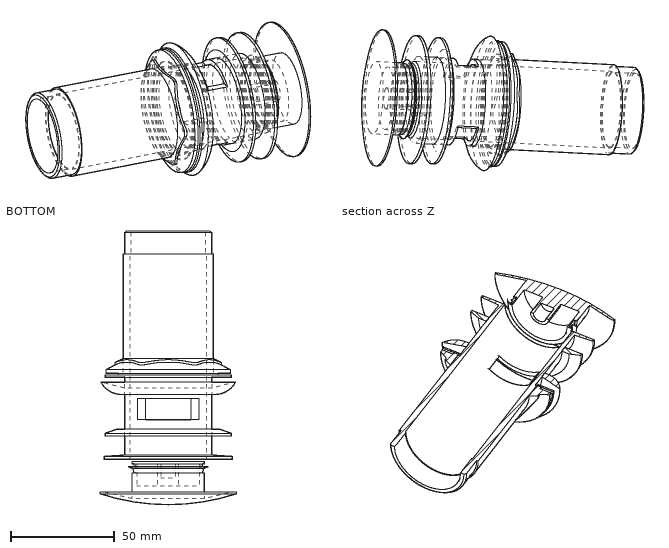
import cadquery as cq
import math

TOTAL_LENGTH = 132.1

CAP_DIAMETER = 65.9
CAP_DOME_HEIGHT = 5.3
CAP_RIM_THICKNESS = 0.9
CAP_DISH_DIAMETER = 62.0
CAP_DISH_DEPTH = 3.2
STEM_DIAMETER = 35.0
STEM_BOTTOM_Y = 111.2
STEM_CAVITY_DIAMETER = 30.2
STEM_CAVITY_DEPTH = 11.9
POST_DIAMETER = 10.2
POST_HOLE_DIAMETER = 6.9
POST_HOLE_DEPTH = 7.9
GROOVE_DIAMETER = 31.7
GROOVE_TOP_Y = 116.8
GROOVE_BOTTOM_Y = 112.4

LIP_DIAMETER = 38.2
LIP_ROOT_DIAMETER = 34.2
SEAL_END_DIAMETER = 33.2
LIP_ROOT_Y = 114.6
LIP_TIP_Y = 113.9
LIP_THICKNESS = 0.3

TUBE_DIAMETER = 42.0
TUBE_BORE = 37.0
FLANGE_DIAMETER = 62.0
FLANGE_TOP_Y = 110.2
FLANGE_EDGE_THICKNESS = 1.5
FLANGE_THICKNESS = 2.1
WINDOW_TOP_Y = 91.0
WINDOW_BOTTOM_Y = 81.0
WINDOW_FLOOR_Z = 14.9
THREAD_DIAMETER = 43.6
THREAD_END_Y = 11.1
OUTLET_BORE = 36.0
OUTLET_CHAMFER = 0.9
OUTLET_LEAD_IN_DIAMETER = 36.3
OUTLET_LEAD_IN_LENGTH = 2.1

SEAL_DIAMETER = 61.0
CONE_GASKET_TOP_Y = 98.9
CONE_GASKET_EDGE_THICKNESS = 1.3
CONE_GASKET_THICKNESS = 3.3
CONE_GASKET_BOTTOM_DIAMETER = 49.9

ROUND_GASKET_DIAMETER = 65.1
ROUND_GASKET_TOP_Y = 79.0
ROUND_GASKET_HEIGHT = 6.1
ROUND_GASKET_FLAT_DIAMETER = 44.9
ROUND_GASKET_HOLLOW_DIAMETER = 64.3
ROUND_GASKET_HOLLOW_DEPTH = 2.9

WASHER_TOP_Y = 70.7
WASHER_THICKNESS = 1.2

NUT_NECK_DIAMETER = 48.2
NUT_FLANGE_DIAMETER = 60.2
NUT_FLANGE_TOP_Y = 68.7
NUT_FLANGE_EDGE_THICKNESS = 1.7
NUT_BOTTOM_Y = 61.5
NUT_FLATS = 46.0
NUT_CORNER_RADIUS = 5.3
NUT_CONE_RUN = 6.9
NUT_CONE_DROP = 3.6
NUT_CHAMFER_OUTER_DIAMETER = 53.1
NUT_CHAMFER_HEIGHT = 2.4


def revolve(sketch):
    """Turn a closed half outline about the Y axis."""
    return sketch.close().revolve(360, (0, 0, 0), (0, 1, 0))


def turned(points):
    """Solid of revolution from straight (radius, y) segments."""
    return revolve(cq.Workplane("XY").polyline(points))


def cylinder(diameter, bottom_y, top_y):
    radius = diameter / 2
    return turned([(0, bottom_y), (radius, bottom_y), (radius, top_y), (0, top_y)])


def make_plug():
    cap_radius = CAP_DIAMETER / 2
    stem_radius = STEM_DIAMETER / 2
    groove_radius = GROOVE_DIAMETER / 2
    rim_top_y = TOTAL_LENGTH - CAP_DOME_HEIGHT
    rim_bottom_y = rim_top_y - CAP_RIM_THICKNESS

    dome_radius = (cap_radius**2 + CAP_DOME_HEIGHT**2) / (2 * CAP_DOME_HEIGHT)
    half_angle = math.asin(cap_radius / dome_radius) / 2
    dome_middle = (
        dome_radius * math.sin(half_angle),
        TOTAL_LENGTH - dome_radius * (1 - math.cos(half_angle)),
    )

    plug = revolve(
        cq.Workplane("XY")
        .moveTo(0, TOTAL_LENGTH)
        .threePointArc(dome_middle, (cap_radius, rim_top_y))
        .lineTo(cap_radius, rim_bottom_y)
        .lineTo(CAP_DISH_DIAMETER / 2, rim_bottom_y)
        .lineTo(stem_radius, rim_bottom_y + CAP_DISH_DEPTH)
        .lineTo(stem_radius, GROOVE_TOP_Y)
        .lineTo(groove_radius, GROOVE_TOP_Y)
        .lineTo(groove_radius, GROOVE_BOTTOM_Y)
        .lineTo(stem_radius, GROOVE_BOTTOM_Y)
        .lineTo(stem_radius, STEM_BOTTOM_Y)
        .lineTo(0, STEM_BOTTOM_Y)
    )
    cavity_top_y = STEM_BOTTOM_Y + STEM_CAVITY_DEPTH
    cavity = cylinder(STEM_CAVITY_DIAMETER, STEM_BOTTOM_Y, cavity_top_y)
    post = cylinder(POST_DIAMETER, STEM_BOTTOM_Y, cavity_top_y)
    post_hole = cylinder(POST_HOLE_DIAMETER, STEM_BOTTOM_Y, STEM_BOTTOM_Y + POST_HOLE_DEPTH)
    return plug.cut(cavity.cut(post)).cut(post_hole)


def make_lip_seal():
    inner_radius = GROOVE_DIAMETER / 2
    end_radius = SEAL_END_DIAMETER / 2
    root_radius = LIP_ROOT_DIAMETER / 2
    lip_radius = LIP_DIAMETER / 2
    return turned([
        (inner_radius, GROOVE_TOP_Y),
        (end_radius, GROOVE_TOP_Y),
        (root_radius, LIP_ROOT_Y),
        (lip_radius, LIP_TIP_Y),
        (lip_radius, LIP_TIP_Y - LIP_THICKNESS),
        (end_radius, LIP_TIP_Y),
        (end_radius, GROOVE_BOTTOM_Y),
        (inner_radius, GROOVE_BOTTOM_Y),
    ])


def make_waste_body():
    tube_radius = TUBE_DIAMETER / 2
    thread_radius = THREAD_DIAMETER / 2
    flange_radius = FLANGE_DIAMETER / 2
    bore_radius = TUBE_BORE / 2
    outlet_radius = OUTLET_BORE / 2
    thread_start_y = WASHER_TOP_Y - WASHER_THICKNESS
    body = turned([
        (bore_radius, FLANGE_TOP_Y),
        (flange_radius, FLANGE_TOP_Y),
        (flange_radius, FLANGE_TOP_Y - FLANGE_EDGE_THICKNESS),
        (tube_radius, FLANGE_TOP_Y - FLANGE_THICKNESS),
        (tube_radius, thread_start_y),
        (thread_radius, thread_start_y),
        (thread_radius, THREAD_END_Y),
        (tube_radius, THREAD_END_Y),
        (tube_radius, OUTLET_CHAMFER),
        (tube_radius - OUTLET_CHAMFER, 0),
        (OUTLET_LEAD_IN_DIAMETER / 2, 0),
        (outlet_radius, OUTLET_LEAD_IN_LENGTH),
        (outlet_radius, THREAD_END_Y),
        (bore_radius, THREAD_END_Y),
    ])

    window_depth = tube_radius - WINDOW_FLOOR_Z
    window_height = WINDOW_TOP_Y - WINDOW_BOTTOM_Y
    for side in (1, -1):
        window = cq.Workplane("XY").box(TUBE_DIAMETER, window_height, window_depth).translate((
            0,
            (WINDOW_TOP_Y + WINDOW_BOTTOM_Y) / 2,
            side * (WINDOW_FLOOR_Z + window_depth / 2),
        ))
        body = body.cut(window)
    return body


def make_cone_gasket():
    inner_radius = TUBE_DIAMETER / 2
    outer_radius = SEAL_DIAMETER / 2
    bottom_y = CONE_GASKET_TOP_Y - CONE_GASKET_THICKNESS
    return turned([
        (inner_radius, CONE_GASKET_TOP_Y),
        (outer_radius, CONE_GASKET_TOP_Y),
        (outer_radius, CONE_GASKET_TOP_Y - CONE_GASKET_EDGE_THICKNESS),
        (CONE_GASKET_BOTTOM_DIAMETER / 2, bottom_y),
        (inner_radius, bottom_y),
    ])


def make_round_gasket():
    inner_radius = TUBE_DIAMETER / 2
    bottom_y = ROUND_GASKET_TOP_Y - ROUND_GASKET_HEIGHT
    return revolve(
        cq.Workplane("XY")
        .moveTo(inner_radius, ROUND_GASKET_TOP_Y)
        .lineTo(ROUND_GASKET_FLAT_DIAMETER / 2, ROUND_GASKET_TOP_Y)
        .tangentArcPoint((ROUND_GASKET_DIAMETER / 2, bottom_y), relative=False)
        .lineTo(ROUND_GASKET_HOLLOW_DIAMETER / 2, bottom_y)
        .lineTo(inner_radius, bottom_y + ROUND_GASKET_HOLLOW_DEPTH)
    )


def make_washer():
    bottom_y = WASHER_TOP_Y - WASHER_THICKNESS
    ring = cylinder(SEAL_DIAMETER, bottom_y, WASHER_TOP_Y)
    return ring.cut(cylinder(TUBE_DIAMETER, bottom_y, WASHER_TOP_Y))


def make_nut():
    flange_radius = NUT_FLANGE_DIAMETER / 2
    neck_radius = NUT_NECK_DIAMETER / 2
    neck_top_y = WASHER_TOP_Y - WASHER_THICKNESS
    cone_top_y = NUT_FLANGE_TOP_Y - NUT_FLANGE_EDGE_THICKNESS
    cone_bottom_y = cone_top_y - NUT_CONE_DROP

    flange = turned([
        (0, neck_top_y),
        (neck_radius, neck_top_y),
        (neck_radius, NUT_FLANGE_TOP_Y),
        (flange_radius, NUT_FLANGE_TOP_Y),
        (flange_radius, cone_top_y),
        (flange_radius - NUT_CONE_RUN, cone_bottom_y),
        (0, cone_bottom_y),
    ])

    corner_diameter = NUT_FLATS / math.cos(math.pi / 6)
    hexagon = (
        cq.Workplane("XZ", origin=(0, cone_top_y, 0))
        .polygon(6, corner_diameter)
        .extrude(cone_top_y - NUT_BOTTOM_Y)
        .edges("|Y")
        .fillet(NUT_CORNER_RADIUS)
    )

    chamfer_radius = NUT_CHAMFER_OUTER_DIAMETER / 2
    chamfer_envelope = turned([
        (0, cone_top_y),
        (chamfer_radius, cone_top_y),
        (chamfer_radius, NUT_BOTTOM_Y + NUT_CHAMFER_HEIGHT),
        (THREAD_DIAMETER / 2, NUT_BOTTOM_Y),
        (0, NUT_BOTTOM_Y),
    ])
    bore = cylinder(THREAD_DIAMETER, NUT_BOTTOM_Y, neck_top_y)
    return flange.union(hexagon.intersect(chamfer_envelope)).cut(bore)


plug = make_plug()
lip_seal = make_lip_seal()
waste_body = make_waste_body()
cone_gasket = make_cone_gasket()
round_gasket = make_round_gasket()
washer = make_washer()
nut = make_nut()

result = cq.Compound.makeCompound([
    plug.val(),
    lip_seal.val(),
    waste_body.val(),
    cone_gasket.val(),
    round_gasket.val(),
    washer.val(),
    nut.val(),
])